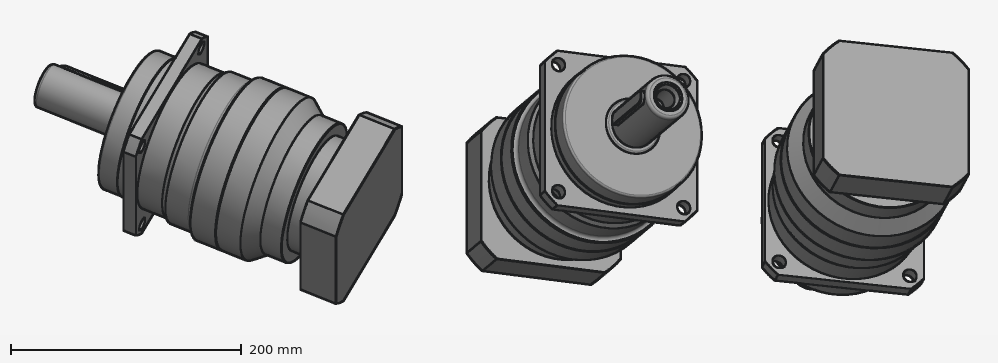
import cadquery as cq
import math

TOTAL_LENGTH = 314.3
COLLAR_START = 82.0
PILOT_START = 84.0
PILOT_END = 102.8
RELIEF_START = 103.5
FLANGE_START = 112.0
FLANGE_END = 123.8
SHOULDER_START = 147.7
SHOULDER_FULL = 152.5
RING_START = 178.2
RING_SPLIT = 203.5
CONE_START = 227.2
CONE_END = 241.0
NECK_START = 261.5
ADAPTER_START = 279.5

SHAFT_RADIUS = 20.0
COLLAR_RADIUS = 25.0
PILOT_RADIUS = 64.7
RELIEF_RADIUS = 65.0
BODY_RADIUS = 68.0
SHOULDER_RADIUS = 71.0
RING_RADIUS = 76.0
REAR_RADIUS = 65.0
NECK_RADIUS = 53.7

SHAFT_TIP_FILLET = 3.0
PILOT_FILLET = 2.0
BROKEN_EDGE = 0.47
RING_CHAMFER = 1.0
RING_FILLET = 3.8

CENTRE_MOUTH_RADIUS = 13.2
CENTRE_THROAT_RADIUS = 11.3
CENTRE_BORE_RADIUS = 8.5
CENTRE_MOUTH_DEPTH = 1.0
CENTRE_THROAT_DEPTH = 6.3
CENTRE_BORE_DEPTH = 31.5
DRILL_TIP_HALF_ANGLE = 60.0

KEY_START = 5.0
KEY_LENGTH = 70.0
KEY_WIDTH = 12.0
KEY_BASE = 15.0
KEY_HEIGHT = 8.2
KEY_CHAMFER = 0.5

FLANGE_WIDTH = 141.7
FLANGE_CORNER_RADIUS = 92.5
BOLT_CIRCLE_RADIUS = 82.5
BOLT_HOLE_RADIUS = 6.0
ADAPTER_WIDTH = 130.0
ADAPTER_CORNER_RADIUS = 82.5


def turned(profile):
    """Revolve a closed XZ profile about the X axis."""
    return profile.close().revolve(360, (0, 0, 0), (1, 0, 0))


def square_plate(start, end, width, corner_radius):
    """A square plate across the X axis whose corners are turned to a circle."""
    thickness = end - start
    plane = cq.Workplane("YZ", origin=(start, 0, 0))
    square = plane.rect(width, width).extrude(thickness)
    disc = plane.circle(corner_radius).extrude(thickness)
    return square.intersect(disc)


def centre_hole():
    """Countersunk blind hole with a drill-point bottom, along the shaft axis."""
    tip_depth = CENTRE_BORE_RADIUS / math.tan(math.radians(DRILL_TIP_HALF_ANGLE))
    return turned(
        cq.Workplane("XZ")
        .lineTo(0, CENTRE_MOUTH_RADIUS)
        .lineTo(CENTRE_MOUTH_DEPTH, CENTRE_THROAT_RADIUS)
        .lineTo(CENTRE_THROAT_DEPTH, CENTRE_BORE_RADIUS)
        .lineTo(CENTRE_BORE_DEPTH, CENTRE_BORE_RADIUS)
        .lineTo(CENTRE_BORE_DEPTH + tip_depth, 0)
    )


def key_blank():
    """Round-ended key lying along the shaft, with square edges."""
    return (
        cq.Workplane("XZ", origin=(KEY_START + KEY_LENGTH / 2, KEY_BASE, 0))
        .slot2D(KEY_LENGTH, KEY_WIDTH)
        .extrude(-KEY_HEIGHT)
    )


def make_key():
    return key_blank().faces(">Y").chamfer(KEY_CHAMFER)


def bolt_holes():
    """Four through holes in the corners of the flange."""
    spacing = BOLT_CIRCLE_RADIUS * math.sqrt(2)
    return (
        cq.Workplane("YZ", origin=(FLANGE_START, 0, 0))
        .rect(spacing, spacing, forConstruction=True)
        .vertices()
        .circle(BOLT_HOLE_RADIUS)
        .extrude(FLANGE_END - FLANGE_START)
    )


def make_output_unit():
    """Keyed shaft, mounting flange and front half of the ring, up to the split."""
    collar_fillet = PILOT_START - COLLAR_START
    body = turned(
        cq.Workplane("XZ")
        .lineTo(0, SHAFT_RADIUS - SHAFT_TIP_FILLET)
        .radiusArc((SHAFT_TIP_FILLET, SHAFT_RADIUS), SHAFT_TIP_FILLET)
        .lineTo(COLLAR_START, SHAFT_RADIUS)
        .lineTo(COLLAR_START, COLLAR_RADIUS - collar_fillet)
        .radiusArc((PILOT_START, COLLAR_RADIUS), collar_fillet)
        .lineTo(PILOT_START, PILOT_RADIUS - PILOT_FILLET)
        .radiusArc((PILOT_START + PILOT_FILLET, PILOT_RADIUS), PILOT_FILLET)
        .lineTo(PILOT_END, PILOT_RADIUS)
        .lineTo(RELIEF_START, RELIEF_RADIUS)
        .lineTo(FLANGE_START, RELIEF_RADIUS)
        .lineTo(FLANGE_START, BODY_RADIUS)
        .lineTo(SHOULDER_START, BODY_RADIUS)
        .lineTo(SHOULDER_FULL, SHOULDER_RADIUS)
        .lineTo(RING_START - RING_FILLET, SHOULDER_RADIUS)
        .radiusArc((RING_START, SHOULDER_RADIUS + RING_FILLET), -RING_FILLET)
        .lineTo(RING_START, RING_RADIUS - RING_CHAMFER)
        .lineTo(RING_START + RING_CHAMFER, RING_RADIUS)
        .lineTo(RING_SPLIT - BROKEN_EDGE, RING_RADIUS)
        .lineTo(RING_SPLIT, RING_RADIUS - BROKEN_EDGE)
        .lineTo(RING_SPLIT, 0)
    )
    flange = square_plate(FLANGE_START, FLANGE_END, FLANGE_WIDTH, FLANGE_CORNER_RADIUS)
    return body.union(flange).cut(bolt_holes()).cut(centre_hole()).cut(key_blank())


def make_rear_housing():
    """Rear half of the ring, tapering to a drum with a narrower neck."""
    return turned(
        cq.Workplane("XZ")
        .moveTo(RING_SPLIT, 0)
        .lineTo(RING_SPLIT, RING_RADIUS - BROKEN_EDGE)
        .lineTo(RING_SPLIT + BROKEN_EDGE, RING_RADIUS)
        .lineTo(CONE_START, RING_RADIUS)
        .lineTo(CONE_END, REAR_RADIUS)
        .lineTo(NECK_START - BROKEN_EDGE, REAR_RADIUS)
        .lineTo(NECK_START, REAR_RADIUS - BROKEN_EDGE)
        .lineTo(NECK_START, NECK_RADIUS)
        .lineTo(ADAPTER_START - BROKEN_EDGE, NECK_RADIUS)
        .lineTo(ADAPTER_START, NECK_RADIUS - BROKEN_EDGE)
        .lineTo(ADAPTER_START, 0)
    )


def make_motor_adapter():
    """Square plate closing the rear end, with the edges of both square faces broken."""
    plate = square_plate(ADAPTER_START, TOTAL_LENGTH, ADAPTER_WIDTH, ADAPTER_CORNER_RADIUS)
    return plate.faces("<X or >X").chamfer(BROKEN_EDGE)


output_unit = make_output_unit()
key = make_key()
rear_housing = make_rear_housing()
motor_adapter = make_motor_adapter()

result = cq.Compound.makeCompound(
    [output_unit.val(), key.val(), rear_housing.val(), motor_adapter.val()]
)